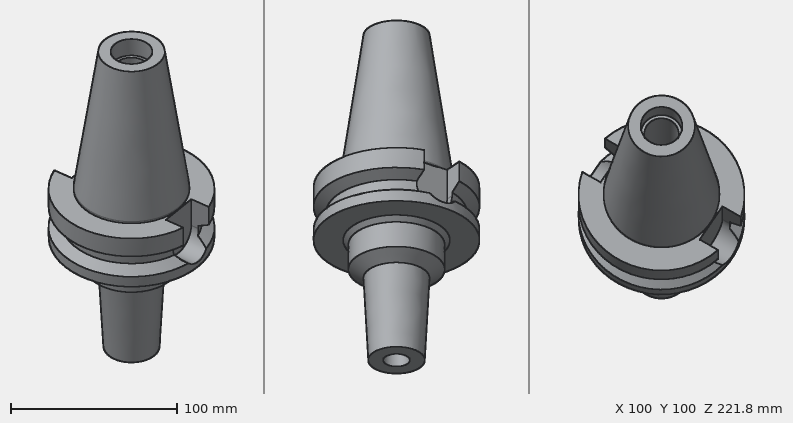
import cadquery as cq

TOTAL_LENGTH = 221.8
TAPER_BASE_Z = 120.0
FLANGE_TOP_Z = 118.5
FLANGE_BOTTOM_Z = 82.0
GROOVE_TOP_Z = 105.0
GROOVE_BOTTOM_Z = 89.5
COLLAR_BOTTOM_Z = 62.0
NOSE_TOP_Z = 56.1

FLANGE_DIAMETER = 100.0
GROOVE_DIAMETER = 85.2
TAPER_BASE_DIAMETER = 69.9
COLLAR_DIAMETER = 58.1
NOSE_TOP_DIAMETER = 40.0
NOSE_END_DIAMETER = 34.2

TAPER_RATIO = 7 / 24
GROOVE_FLANK_HEIGHT = 4.33
COLLAR_FLARE = 3.0

SOCKET_DIAMETER = 25.0
SOCKET_DEPTH = 12.5
THREAD_DIAMETER = 20.8
THREAD_DEPTH = 53.2
STEP_DIAMETER = 16.6
STEP_DEPTH = 79.8
THROUGH_DIAMETER = 16.0

SLOT_WIDTH = 25.7
SLOT_BOTTOM_Z = 85.8
SLOT_FLOOR_X = 35.3


def make_body():
    """Revolve the outside profile about Z."""
    taper_length = TOTAL_LENGTH - TAPER_BASE_Z
    taper_end_diameter = TAPER_BASE_DIAMETER - taper_length * TAPER_RATIO
    collar_radius = COLLAR_DIAMETER / 2
    profile = [
        (0, 0),
        (NOSE_END_DIAMETER / 2, 0),
        (NOSE_TOP_DIAMETER / 2, NOSE_TOP_Z),
        (collar_radius, COLLAR_BOTTOM_Z),
        (collar_radius, FLANGE_BOTTOM_Z - COLLAR_FLARE),
        (collar_radius + COLLAR_FLARE, FLANGE_BOTTOM_Z),
        (FLANGE_DIAMETER / 2, FLANGE_BOTTOM_Z),
        (FLANGE_DIAMETER / 2, GROOVE_BOTTOM_Z),
        (GROOVE_DIAMETER / 2, GROOVE_BOTTOM_Z + GROOVE_FLANK_HEIGHT),
        (GROOVE_DIAMETER / 2, GROOVE_TOP_Z - GROOVE_FLANK_HEIGHT),
        (FLANGE_DIAMETER / 2, GROOVE_TOP_Z),
        (FLANGE_DIAMETER / 2, FLANGE_TOP_Z),
        (TAPER_BASE_DIAMETER / 2, FLANGE_TOP_Z),
        (TAPER_BASE_DIAMETER / 2, TAPER_BASE_Z),
        (taper_end_diameter / 2, TOTAL_LENGTH),
        (0, TOTAL_LENGTH),
    ]
    return cq.Workplane("XZ").polyline(profile).close().revolve(360, (0, 0), (0, 1))


def bore_from_top(diameter, depth):
    """Cylinder reaching down from the small end of the taper."""
    return cq.Workplane("XY").workplane(offset=TOTAL_LENGTH - depth).circle(diameter / 2).extrude(depth)


def drive_slot(side):
    """Round-bottomed slot cutter, open at the flange top, on the +X (1) or -X (-1) side."""
    radius = SLOT_WIDTH / 2
    arc_center_z = SLOT_BOTTOM_Z + radius
    return (
        cq.Workplane("YZ", origin=(side * SLOT_FLOOR_X, 0, 0))
        .moveTo(-radius, FLANGE_TOP_Z)
        .lineTo(-radius, arc_center_z)
        .threePointArc((0, SLOT_BOTTOM_Z), (radius, arc_center_z))
        .lineTo(radius, FLANGE_TOP_Z)
        .close()
        .extrude(side * FLANGE_DIAMETER / 2)
    )


result = make_body()

for bore_diameter, bore_depth in (
    (SOCKET_DIAMETER, SOCKET_DEPTH),
    (THREAD_DIAMETER, THREAD_DEPTH),
    (STEP_DIAMETER, STEP_DEPTH),
    (THROUGH_DIAMETER, TOTAL_LENGTH),
):
    result = result.cut(bore_from_top(bore_diameter, bore_depth))

for slot_side in (-1, 1):
    result = result.cut(drive_slot(slot_side))